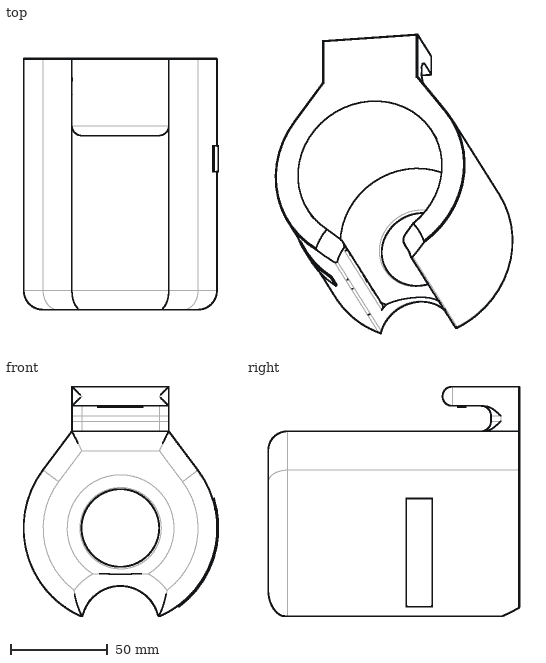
import cadquery as cq
import math

length = 130.0
front_y = -length / 2
rear_y = length / 2
outer_radius = 50.0
flat_half_width = 25.0
flat_z = 50.0
shoulder_x = 40.0
shoulder_z = math.sqrt(outer_radius**2 - shoulder_x**2)
front_round = 10.0
rear_chamfer = 0.5

bore_radius = 38.0
hole_radius = 20.0
hole_lip_round = 3.0
hole_mouth_round = 10.0
hole_mouth_radius = 27.6
bore_start = 23.0
notch_radius = 20.0
notch_z = -outer_radius
notch_front_round = 10.0
notch_rear_chamfer = 10.0
notch_lip_round = 3.0
tip_round = 1.0

hook_gap = 13.0
arm_thickness = 10.0
arm_bottom_z = flat_z + hook_gap
hook_top_z = arm_bottom_z + arm_thickness
hook_bottom_z = flat_z - rear_chamfer
hook_reach = 40.0
arm_tip_y = rear_y - hook_reach
hook_root = 15.0
gap_end_y = rear_y - hook_root
hook_round = 5.0

pad_height = 0.75
side_pad_start_angle = 17.5
side_pad_end_angle = -53.5
side_pad_rear_y = 19.7
side_pad_width = 13.3
arm_pad_half_length = 11.7
arm_pad_center_y = 35.0
arm_pad_width = 4.0

gap_margin = 20.0
overlap = 1.0


def extrude_along_y(sketch_on_xz, start_y, end_y):
    """Build a prism from start_y to end_y out of a function drawing on an XZ workplane."""
    plane = cq.Workplane("XZ", origin=(0, end_y, 0))
    return sketch_on_xz(plane).extrude(end_y - start_y)


def cylinder_along_y(radius, axis_z, start_y, end_y):
    return extrude_along_y(lambda plane: plane.center(0, axis_z).circle(radius), start_y, end_y)


def sleeve_outline(plane):
    return (
        plane.moveTo(-flat_half_width, flat_z)
        .lineTo(flat_half_width, flat_z)
        .lineTo(shoulder_x, shoulder_z)
        .threePointArc((0, -outer_radius), (-shoulder_x, shoulder_z))
        .close()
    )


def make_outer_form():
    """Full outside of the sleeve: rounded front rim and a fine chamfer at the rear."""
    form = extrude_along_y(sleeve_outline, front_y, rear_y)
    return form.faces("<Y").edges().fillet(front_round).faces(">Y").edges().chamfer(rear_chamfer)


def notch_edges(body, radius):
    """Lengthwise edges where the notch crosses a circle of the given radius on the sleeve axis."""
    crossing_z = (notch_z**2 + radius**2 - notch_radius**2) / (2 * notch_z)
    band = cq.selectors.BoxSelector(
        (-radius, front_y - overlap, crossing_z - overlap),
        (radius, rear_y + overlap, crossing_z + overlap),
    )
    return body.edges("|Y").edges(band)


def make_section_prism():
    """Sleeve section with the notch and bore cut, its lengthwise edges rounded."""
    prism = extrude_along_y(sleeve_outline, front_y, rear_y)
    prism = prism.cut(cylinder_along_y(notch_radius, notch_z, front_y - overlap, rear_y + overlap))
    prism = notch_edges(prism, outer_radius).fillet(tip_round)
    prism = prism.cut(cylinder_along_y(bore_radius, 0, front_y + bore_start, rear_y + overlap))
    return notch_edges(prism, bore_radius).fillet(notch_lip_round)


def make_notch_mouth():
    """Cutter that flares the notch into the front face with a quarter round."""
    bend = notch_front_round * (1 - math.sqrt(0.5))
    return (
        cq.Workplane("XY", origin=(0, front_y, notch_z))
        .moveTo(0, 0)
        .lineTo(notch_radius + notch_front_round, 0)
        .threePointArc((notch_radius + bend, bend), (notch_radius, notch_front_round))
        .lineTo(0, notch_front_round)
        .close()
        .revolve(360, (0, 0, 0), (0, 1, 0))
    )


def make_hole_cutter():
    """Front hole: a rounded mouth, a rounded lip and a cone that widens to the bore."""
    mouth_angle = math.asin(
        (hole_mouth_radius - hole_radius - hole_lip_round) / (hole_mouth_round - hole_lip_round))

    def on_mouth(angle):
        return (
            hole_mouth_radius - hole_mouth_round * math.sin(angle),
            hole_mouth_round * (1 - math.cos(angle)),
        )

    lip_depth = hole_mouth_round - (hole_mouth_round - hole_lip_round) * math.cos(mouth_angle)
    lip_center_radius = hole_radius + hole_lip_round
    cone_run = bore_start - lip_depth
    cone_spread = bore_radius - lip_center_radius
    lip_to_bore = math.hypot(cone_run, cone_spread)
    cone = math.atan2(cone_spread, cone_run) + math.asin(hole_lip_round / lip_to_bore)
    cone_start = (
        lip_center_radius - hole_lip_round * math.cos(cone),
        lip_depth + hole_lip_round * math.sin(cone),
    )
    return (
        cq.Workplane("XY", origin=(0, front_y, 0))
        .moveTo(0, 0)
        .lineTo(hole_mouth_radius, 0)
        .threePointArc(on_mouth(mouth_angle / 2), on_mouth(mouth_angle))
        .threePointArc((hole_radius, lip_depth), cone_start)
        .lineTo(bore_radius, bore_start)
        .lineTo(0, bore_start)
        .close()
        .revolve(360, (0, 0, 0), (0, 1, 0))
    )


def make_rear_flare():
    """Cutter for the conical flare of the notch at the rear face."""
    end_radius = notch_radius + notch_rear_chamfer
    return (
        cq.Workplane("XY", origin=(0, rear_y, notch_z))
        .moveTo(0, -notch_rear_chamfer)
        .lineTo(notch_radius, -notch_rear_chamfer)
        .lineTo(end_radius, 0)
        .lineTo(0, 0)
        .close()
        .revolve(360, (0, 0, 0), (0, 1, 0))
    )


def make_sleeve():
    sleeve = make_outer_form().intersect(make_section_prism())
    sleeve = sleeve.cut(make_notch_mouth())
    sleeve = sleeve.cut(make_hole_cutter())
    return sleeve.cut(make_rear_flare())


def make_hook_gap():
    """Cutter for the gap under the arm: rounded in section, flared around both side edges."""
    side_x = flat_half_width
    outside_x = side_x + gap_margin
    open_y = arm_tip_y - gap_margin
    flare_y = gap_end_y + hook_round
    side_end_y = flare_y + gap_margin / 2
    bend = hook_round * math.sqrt(0.5)
    bend_x = side_x - hook_round + bend
    bend_y = flare_y - bend
    slab = (
        cq.Workplane("XY", origin=(0, 0, flat_z))
        .moveTo(-outside_x, open_y)
        .lineTo(outside_x, open_y)
        .lineTo(outside_x, side_end_y)
        .lineTo(side_x, side_end_y)
        .lineTo(side_x, flare_y)
        .threePointArc((bend_x, bend_y), (side_x - hook_round, gap_end_y))
        .lineTo(-side_x + hook_round, gap_end_y)
        .threePointArc((-bend_x, bend_y), (-side_x, flare_y))
        .lineTo(-side_x, side_end_y)
        .lineTo(-outside_x, side_end_y)
        .close()
        .extrude(hook_gap)
    )
    return slab.faces("<Z or >Z").edges().fillet(hook_round)


def make_hook():
    """Block on the rear of the flat with an arm reaching forward over it."""
    side_profile = (
        cq.Workplane("YZ", origin=(-flat_half_width, 0, 0))
        .moveTo(rear_y, hook_bottom_z)
        .lineTo(rear_y, hook_top_z)
        .lineTo(arm_tip_y + hook_round, hook_top_z)
        .threePointArc(
            (arm_tip_y, hook_top_z - hook_round), (arm_tip_y + hook_round, arm_bottom_z))
        .lineTo(arm_tip_y + hook_round, hook_bottom_z)
        .close()
        .extrude(2 * flat_half_width)
    )
    plan = (
        cq.Workplane("XY", origin=(0, (arm_tip_y + rear_y) / 2, hook_bottom_z))
        .rect(2 * flat_half_width, hook_reach)
        .extrude(hook_top_z - hook_bottom_z)
        .edges("|Z and <Y").fillet(hook_round)
        .faces(">Y").edges("not <Z").chamfer(rear_chamfer)
    )
    return side_profile.intersect(plan).cut(make_hook_gap())


def make_side_pad():
    """Thin curved pad resting on the +X side of the sleeve."""
    def point(radius, angle):
        return (radius * math.cos(math.radians(angle)), radius * math.sin(math.radians(angle)))

    middle = (side_pad_start_angle + side_pad_end_angle) / 2
    pad_radius = outer_radius + pad_height
    return (
        cq.Workplane("XZ", origin=(0, side_pad_rear_y, 0))
        .moveTo(*point(outer_radius, side_pad_start_angle))
        .lineTo(*point(pad_radius, side_pad_start_angle))
        .threePointArc(point(pad_radius, middle), point(pad_radius, side_pad_end_angle))
        .lineTo(*point(outer_radius, side_pad_end_angle))
        .threePointArc(point(outer_radius, middle), point(outer_radius, side_pad_start_angle))
        .close()
        .extrude(side_pad_width)
    )


def make_arm_pad():
    """Thin pad under the hook arm."""
    return (
        cq.Workplane("XY", origin=(0, arm_pad_center_y, arm_bottom_z))
        .rect(2 * arm_pad_half_length, arm_pad_width)
        .extrude(-pad_height)
    )


holder = make_sleeve().union(make_hook())
side_pad = make_side_pad()
arm_pad = make_arm_pad()

result = cq.Compound.makeCompound([holder.val(), side_pad.val(), arm_pad.val()])